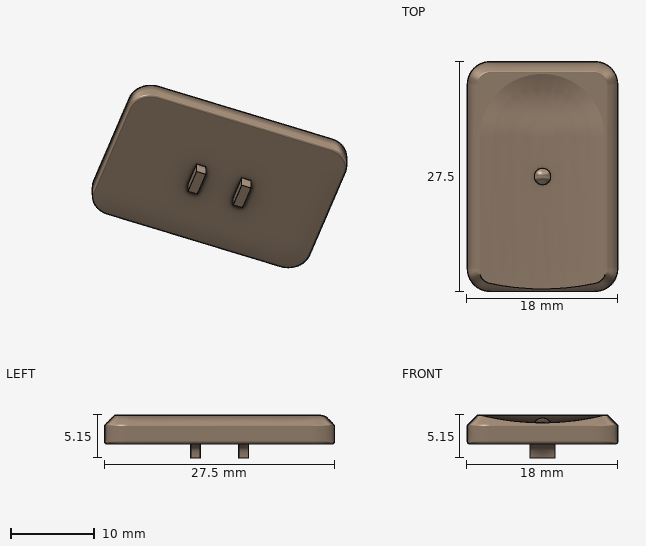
import cadquery as cq

length = 27.5
width = 18.0
total_height = 5.15
body_height = 3.5
tab_height = total_height - body_height

corner_radius = 2.75
top_chamfer = 1.25
chamfer_blend = 0.25
bottom_fillet = 0.35

dish_half_width = 7.45
dish_depth = 0.94
dish_center_y = 4.78
dish_radius = (dish_half_width**2 + dish_depth**2) / (2 * dish_depth)
dish_axis_z = body_height - dish_depth + dish_radius

bump_radius = 1.0
bump_height = 0.58
bump_sphere_radius = (bump_radius**2 + bump_height**2) / (2 * bump_height)
bump_top_z = body_height - dish_depth + bump_height

tab_width = 3.0
tab_thickness = 1.18
tab_spacing = 5.75


def make_body():
    """Rounded slab with a chamfered top whose two chamfer edges are blended."""
    body = cq.Workplane("XY").rect(width, length).extrude(body_height)
    body = body.edges("|Z").fillet(corner_radius)
    body = body.faces("<Z").edges().fillet(bottom_fillet)
    body = body.faces(">Z").edges().chamfer(top_chamfer)
    shoulder_z = body_height - top_chamfer
    margin = chamfer_blend / 2
    shoulder = cq.selectors.BoxSelector(
        (-width, -length, shoulder_z - margin),
        (width, length, shoulder_z + margin),
        boundingbox=True,
    )
    body = body.edges(shoulder).fillet(chamfer_blend)
    return body.faces(">Z").edges().fillet(chamfer_blend)


def make_dish():
    """Cutter: cylinder running out through the near end, closed by a sphere."""
    trough = (
        cq.Workplane("XZ", origin=(0, dish_center_y, dish_axis_z))
        .circle(dish_radius)
        .extrude(length)
    )
    round_end = cq.Workplane("XY").sphere(dish_radius).translate((0, dish_center_y, dish_axis_z))
    return trough.union(round_end)


def make_bump():
    """Spherical cap, with the rest of its ball buried in the body."""
    return cq.Workplane("XY").sphere(bump_sphere_radius).translate((0, 0, bump_top_z - bump_sphere_radius))


def make_tabs():
    return (
        cq.Workplane("XY")
        .rarray(0.28, tab_spacing, 1, 2)
        .rect(tab_width, tab_thickness)
        .extrude(-tab_height)
    )


result = make_body().cut(make_dish()).union(make_bump()).union(make_tabs())